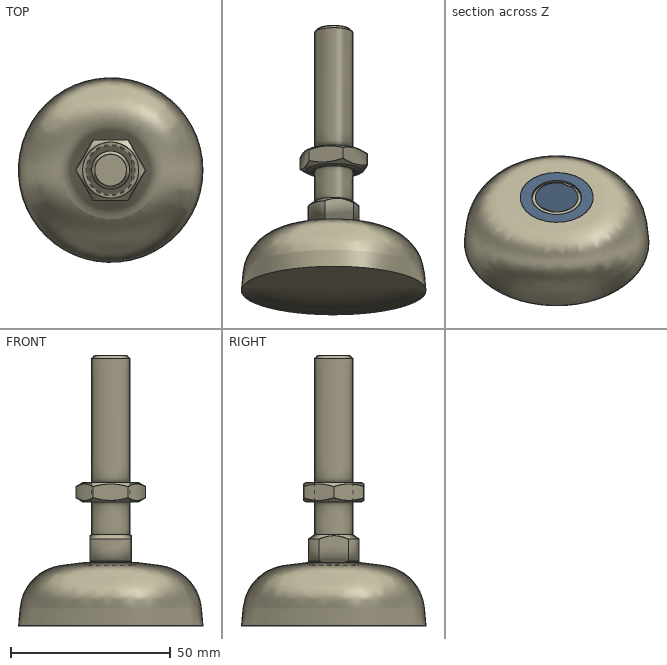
import cadquery as cq
import math


total_height = 85.0

base_diameter = 58.0
rim_height = 5.4
rim_draft = math.radians(5)
dome_radius = 15.0
crown_slope = math.radians(7.3)
seat_diameter = 15.4

rod_diameter = 12.0
rod_tip_chamfer = 1.0
collar_diameter = 16.0
collar_flat_width = 13.0
collar_edge_bottom = 20.35
collar_edge_top = 27.25
collar_chamfer_angle = math.radians(36)

nut_flat_width = 19.0
nut_height = 6.0
nut_bottom = 39.0
nut_face_diameter = 17.6
nut_chamfer_angle = math.radians(30)

rod_radius = rod_diameter / 2
collar_radius = collar_diameter / 2
collar_chamfer_height = (collar_radius - rod_radius) * math.tan(collar_chamfer_angle)
collar_bottom = collar_edge_bottom - collar_chamfer_height
collar_top = collar_edge_top + collar_chamfer_height
rod_tip_radius = rod_radius - rod_tip_chamfer
nut_corner_diameter = nut_flat_width / math.cos(math.radians(30))


def revolve_profile(profile):
    """Revolve a closed profile, drawn as (radius, height), around the Z axis."""
    return profile.close().revolve(360, (0, 0, 0), (0, 1, 0))


def make_base():
    """Drafted rim, a dome arc tangent to it and a shallow conical crown with a round seat for the collar."""
    rim_bottom_radius = base_diameter / 2
    rim_top_radius = rim_bottom_radius - rim_height * math.tan(rim_draft)

    dome_center_radius = rim_top_radius - dome_radius * math.cos(rim_draft)
    dome_center_height = rim_height - dome_radius * math.sin(rim_draft)

    def dome_point(angle):
        radius = dome_center_radius + dome_radius * math.cos(angle)
        height = dome_center_height + dome_radius * math.sin(angle)
        return radius, height

    crown_angle = math.pi / 2 - crown_slope
    crown_radius, crown_edge_height = dome_point(crown_angle)
    apex_height = crown_edge_height + crown_radius * math.tan(crown_slope)

    body = revolve_profile(
        cq.Workplane("XZ")
        .moveTo(0, 0)
        .lineTo(rim_bottom_radius, 0)
        .lineTo(rim_top_radius, rim_height)
        .threePointArc(dome_point((rim_draft + crown_angle) / 2), (crown_radius, crown_edge_height))
        .lineTo(0, apex_height)
    )
    collar_seat = (
        cq.Workplane("XY")
        .workplane(offset=collar_bottom)
        .circle(seat_diameter / 2)
        .extrude(apex_height - collar_bottom)
    )
    return body.cut(collar_seat)


def make_stem():
    """Rod with a chamfered tip, on a collar coned at both ends, with two wrench flats facing -X and +X."""
    collar = revolve_profile(
        cq.Workplane("XZ")
        .moveTo(0, collar_bottom)
        .lineTo(rod_radius, collar_bottom)
        .lineTo(collar_radius, collar_edge_bottom)
        .lineTo(collar_radius, collar_edge_top)
        .lineTo(rod_radius, collar_top)
        .lineTo(0, collar_top)
    )
    wrench_envelope = (
        cq.Workplane("XY")
        .workplane(offset=collar_bottom)
        .rect(collar_flat_width, collar_diameter)
        .extrude(collar_top - collar_bottom)
    )
    rod = revolve_profile(
        cq.Workplane("XZ")
        .moveTo(0, collar_top)
        .lineTo(rod_radius, collar_top)
        .lineTo(rod_radius, total_height - rod_tip_chamfer)
        .lineTo(rod_tip_radius, total_height)
        .lineTo(0, total_height)
    )
    return collar.intersect(wrench_envelope).union(rod)


def make_lock_nut():
    """Hexagon with corners on the X axis, both faces coned off at the corners."""
    nut_top = nut_bottom + nut_height
    face_radius = nut_face_diameter / 2
    corner_radius = nut_corner_diameter / 2
    corner_drop = (corner_radius - face_radius) * math.tan(nut_chamfer_angle)

    hexagon = (
        cq.Workplane("XY")
        .workplane(offset=nut_bottom)
        .polygon(6, nut_corner_diameter)
        .circle(rod_radius)
        .extrude(nut_height)
    )
    corner_envelope = revolve_profile(
        cq.Workplane("XZ")
        .moveTo(0, nut_bottom)
        .lineTo(face_radius, nut_bottom)
        .lineTo(corner_radius, nut_bottom + corner_drop)
        .lineTo(corner_radius, nut_top - corner_drop)
        .lineTo(face_radius, nut_top)
        .lineTo(0, nut_top)
    )
    return hexagon.intersect(corner_envelope)


base = make_base()
stem = make_stem()
lock_nut = make_lock_nut()

result = cq.Compound.makeCompound([base.val(), stem.val(), lock_nut.val()])